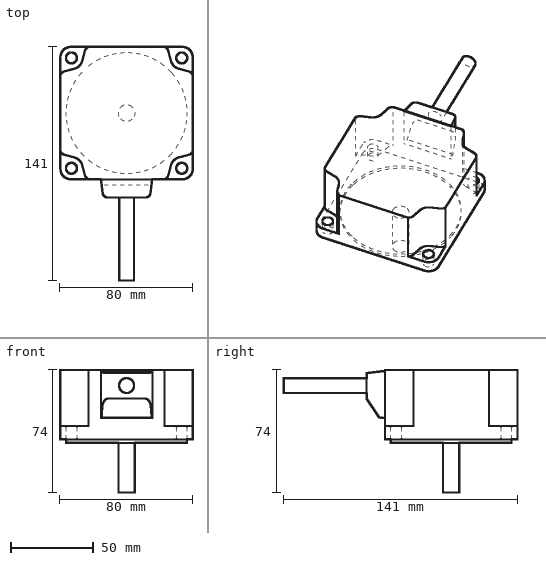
import cadquery as cq
import math


body_width = 80.0
body_height = 42.0
flange_thickness = 8.0
flange_corner_radius = 6.5

hole_pitch = 66.5
hole_diameter = 6.5

pocket_radius = 6.75
flank_angle = math.radians(15)
lip_radius = 4.0
lip_start = 2.65

pilot_diameter = 73.0
pilot_height = 2.0
shaft_diameter = 10.0
shaft_length = 30.0

outlet_width = 31.0
outlet_height = 28.6
outlet_top_gap = 0.6
outlet_depth = 11.0
outlet_draft = 7.0
outlet_edge_radius = 3.3
bevel_start_depth = 3.6
bevel_start_drop = 28.6
bevel_end_drop = 17.4

cable_diameter = 9.0
cable_length = 50.0
cable_drop = 9.5

half_width = body_width / 2
hole_inset = (body_width - hole_pitch) / 2


def make_block():
    """Square block with rounded vertical edges, covering the flange and the body."""
    block = cq.Workplane("XY").rect(body_width, body_width).extrude(body_height)
    return block.edges("|Z").fillet(flange_corner_radius)


def make_corner_relief():
    """Cutter for the +X +Y corner; the profile is symmetric about the diagonal."""

    def place(across, along):
        """Turn distances from the two outer sides into XY coordinates."""
        return (half_width - across, half_width - along)

    pocket_across = hole_inset + pocket_radius * math.cos(flank_angle)
    pocket_along = hole_inset + pocket_radius * math.sin(flank_angle)
    pocket_middle = hole_inset + pocket_radius * math.cos(math.pi / 4)
    lip_across = pocket_across + (pocket_along - lip_start) * math.tan(flank_angle)
    lip_center_across = lip_across + lip_radius * math.cos(flank_angle)
    lip_center_along = lip_start + lip_radius * math.sin(flank_angle)
    lip_end = lip_center_across - math.sqrt(lip_radius**2 - lip_center_along**2)

    profile = (
        cq.Workplane("XY", origin=(0, 0, flange_thickness))
        .moveTo(*place(0, 0))
        .lineTo(*place(lip_end, 0))
        .radiusArc(place(lip_across, lip_start), lip_radius)
        .lineTo(*place(pocket_across, pocket_along))
        .threePointArc(place(pocket_middle, pocket_middle), place(pocket_along, pocket_across))
        .lineTo(*place(lip_start, lip_across))
        .radiusArc(place(0, lip_end), lip_radius)
        .close()
    )
    return profile.extrude(body_height - flange_thickness)


def cut_corner_reliefs(body):
    """Cut the same relief at all four corners, leaving the flange ears."""
    relief = make_corner_relief()
    for quarter in range(4):
        body = body.cut(relief.rotate((0, 0, 0), (0, 0, 1), 90 * quarter))
    return body


def cut_mounting_holes(body):
    """Drill one through hole in each flange ear."""
    holes = (
        cq.Workplane("XY")
        .rect(hole_pitch, hole_pitch, forConstruction=True)
        .vertices()
        .circle(hole_diameter / 2)
        .extrude(flange_thickness)
    )
    return body.cut(holes)


def make_pilot_and_shaft():
    """Centring pilot under the flange, with the shaft below it."""
    pilot = cq.Workplane("XY").circle(pilot_diameter / 2).extrude(-pilot_height)
    return pilot.faces("<Z").workplane().circle(shaft_diameter / 2).extrude(shaft_length)


def make_outlet():
    """Drafted cable housing on the -Y face, bevelled underneath."""
    center_height = body_height - outlet_top_gap - outlet_height / 2
    housing = (
        cq.Workplane("XZ", origin=(0, -half_width, center_height))
        .rect(outlet_width, outlet_height)
        .extrude(outlet_depth, taper=outlet_draft)
    )
    front_edges = housing.faces("<Y").edges("<X or >X")
    housing = front_edges.fillet(outlet_edge_radius)

    bevel_slope = (bevel_start_drop - bevel_end_drop) / (outlet_depth - bevel_start_depth)
    cutter_depth = 2 * outlet_depth
    cutter_bottom = body_height - bevel_start_drop - bevel_slope * bevel_start_depth
    cutter_top = cutter_bottom + bevel_slope * cutter_depth
    bevel = (
        cq.Workplane("YZ")
        .moveTo(-half_width, cutter_bottom)
        .lineTo(-half_width - cutter_depth, cutter_top)
        .lineTo(-half_width - cutter_depth, cutter_bottom)
        .close()
        .extrude(outlet_width / 2, both=True)
    )
    return housing.cut(bevel)


def make_cable():
    """Straight round cable leaving the outer face of the housing."""
    origin = (0, -half_width - outlet_depth, body_height - cable_drop)
    return cq.Workplane("XZ", origin=origin).circle(cable_diameter / 2).extrude(cable_length)


motor = cut_mounting_holes(cut_corner_reliefs(make_block()))
motor = motor.union(make_pilot_and_shaft())
motor = motor.union(make_outlet())
result = motor.union(make_cable())